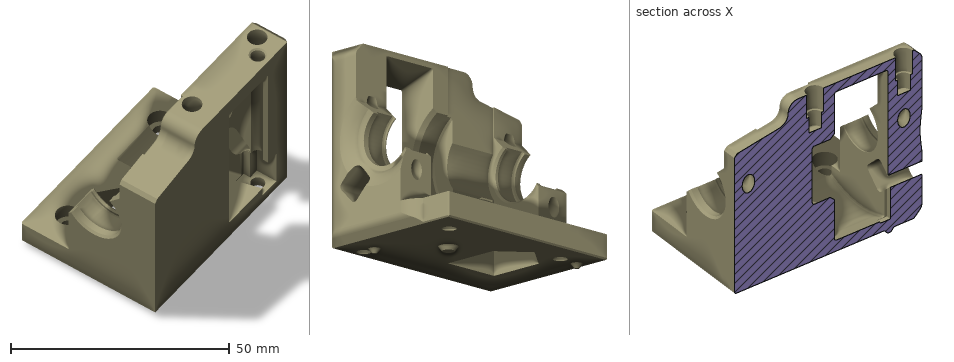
import cadquery as cq
import math

depth = 38.0
length = 53.75
height = 46.75
plate_thickness = 6.0
edge_break = 0.4
lead_in = 0.55

jaw_x = 13.5
upright_x = 27.9
jaw_top_z = 18.45
upright_foot_z = jaw_top_z + upright_x - jaw_x

axis_x = 20.65
axis_z = 23.65
shaft_bore_radius = 7.3
small_seat_radius = 8.15
small_seat_corner = 0.25
front_seat_y = (2.25, 7.75)
rear_seat_y = (44.2, 49.65)
large_seat_radius = 13.6
large_seat_depth_y = 22.25
large_seat_corner = 0.45
large_seat_mouth_depth = 1.3
large_seat_mouth_rise = 0.7
room_bore_radius = 9.25

room_y = (9.05, 23.9)
room_recess = 0.3
recess_edge_break = 0.25
opening_tip_x = 7.35
window_y = (28.75, 43.9)
gear_radius = 22.85
gear_tangent_x = 27.4
window_corner = 0.5

step_convex_y = 18.35
step_convex_radius = 2.95
step_concave_radius = 3.05
step_slope = math.radians(10)
front_corner_radius = 0.8

rear_plate_y = 51.7
boss_left_start_x = 8.2
boss_left_end_x = 13.4
boss_bevel = 1.7
boss_edge_radius = 2.15
flare_inner_radius = 8.7
flare_middle_radius = 10.05
flare_outer_radius = 12.45

screw_radius = 1.7
base_screw_x = 7.25
base_screws_y = (8.3, 44.25)
base_counterbore_radius = 2.95
base_counterbore_depth = 3.75
clamp_screw_offset = 11.55
clamp_screws_y = (4.1, 48.55)
clamp_screw_depth = 10.75
insert_x = 31.6
inserts_y = (23.15, 48.55)
insert_radius = 2.35
insert_depth = 6.45
insert_pilot_radius = 1.8
insert_pilot_depth = 10.75
long_screw_x = 34.9
long_screw_y = 44.25

access_x = 32.45
access_y = (41.75, 47.2)
access_z = (2.7, 12.1)
access_step_x = 30.55
access_step_y = 44.6
diagonal_slot_x = 28.45
diagonal_slot_z = 13.15
diagonal_slot_height = 7.0
diagonal_slot_width = 7.0
diagonal_slot_corner = 1.2

foot_height = 1.1
foot_taper = 40
feet = ((7.4, 2.75, 1.45), (31.3, 44.35, 1.45), (18.0, 33.7, 2.35))

margin = 2.7


def box(x_range, y_range, z_range):
    """Box given by its limits along each axis."""
    size = [high - low for low, high in (x_range, y_range, z_range)]
    return cq.Workplane("XY").box(*size, centered=False).translate((x_range[0], y_range[0], z_range[0]))


def shaft_turning(profile):
    """Solid of revolution about the shaft axis from (y, radius) corners."""
    first_y = profile[0][0]
    last_y = profile[-1][0]
    corners = [(0, first_y)] + [(radius, y) for y, radius in profile] + [(0, last_y)]
    turned = cq.Workplane("XY").polyline(corners).close().revolve(360, (0, 0, 0), (0, 1, 0))
    return turned.translate((axis_x, 0, axis_z))


def seat(radius, y_range, corner):
    """Bearing seat with bevelled corners at both ends."""
    start, end = y_range
    return shaft_turning(
        [(start, radius - corner), (start + corner, radius), (end - corner, radius), (end, radius - corner)]
    )


def clamp_body():
    """Base plate, jaws and upright as one outline along the shaft."""
    outline = (
        cq.Workplane("XZ")
        .polyline([
            (0, 0), (depth, 0), (depth, height), (upright_x, height), (upright_x, upright_foot_z),
            (jaw_x, jaw_top_z), (jaw_x, plate_thickness), (0, plate_thickness),
        ])
        .close()
    )
    return outline.extrude(-length).faces("<Z").edges("not >Y").chamfer(edge_break)


def front_step():
    """Space removed above the front end, leaving an S-curve and a sloping top."""
    inflection_y = step_convex_y - step_convex_radius
    inflection_z = height - step_convex_radius
    convex_mid = (
        step_convex_y - step_convex_radius * math.cos(math.pi / 4),
        inflection_z + step_convex_radius * math.sin(math.pi / 4),
    )
    concave_y = inflection_y - step_concave_radius
    end_angle = step_slope - math.pi / 2

    def concave_point(angle):
        return (
            concave_y + step_concave_radius * math.cos(angle),
            inflection_z + step_concave_radius * math.sin(angle),
        )

    slope_y, slope_z = concave_point(end_angle)
    front_z = slope_z - slope_y * math.tan(step_slope)
    return (
        cq.Workplane("YZ")
        .moveTo(step_convex_y, height)
        .threePointArc(convex_mid, (inflection_y, inflection_z))
        .threePointArc(concave_point(end_angle / 2), (slope_y, slope_z))
        .lineTo(front_corner_radius, front_z + front_corner_radius * math.tan(step_slope))
        .lineTo(0, front_z - front_corner_radius)
        .lineTo(-margin, front_z - front_corner_radius)
        .lineTo(-margin, height + margin)
        .lineTo(step_convex_y, height + margin)
        .close()
        .extrude(depth)
    )


def rear_left_cutter():
    """Space behind the base plate, left of the rounded flank of the rear boss."""
    rise = length - rear_plate_y
    run = boss_left_end_x - boss_left_start_x
    flank_radius = (run ** 2 + rise ** 2) / (2 * rise)
    return (
        cq.Workplane("XY")
        .moveTo(-margin, rear_plate_y)
        .lineTo(boss_left_start_x, rear_plate_y)
        .radiusArc((boss_left_end_x, length), flank_radius)
        .lineTo(boss_left_end_x, length + margin)
        .lineTo(-margin, length + margin)
        .close()
        .extrude(height)
    )


def rear_edge_cutter(plane, edge, inward, span):
    """Space outside one rear edge of the boss: a 45 degree bevel that rounds into the rear face.

    The edge lies at the given distance across Y, and inward is the sign of the way into the part.
    """
    diagonal = math.sqrt(0.5)
    tangent_y = length - boss_edge_radius * (1 - diagonal)
    bevel_y = tangent_y - boss_bevel
    arc_depth = boss_bevel + boss_edge_radius * diagonal
    arc_mid = (
        length - boss_edge_radius * (1 - math.cos(math.pi / 8)),
        arc_depth - boss_edge_radius * math.sin(math.pi / 8),
    )

    def place(y, into_part):
        across = edge + inward * into_part
        return (across, y) if plane == "XY" else (y, across)

    return (
        cq.Workplane(plane)
        .moveTo(*place(bevel_y, 0))
        .lineTo(*place(tangent_y, boss_bevel))
        .threePointArc(place(*arc_mid), place(length, arc_depth))
        .lineTo(*place(length + margin, arc_depth))
        .lineTo(*place(length + margin, -margin))
        .lineTo(*place(bevel_y, -margin))
        .close()
        .extrude(span)
    )


def room():
    """Open room between the front and middle walls, with its opening through the base plate."""
    start, end = room_y
    space = box((-margin, upright_x), room_y, (plate_thickness, height))
    recess = box((upright_x, upright_x + room_recess), room_y, (axis_z, height))
    opening = (
        cq.Workplane("XY")
        .polyline([
            (upright_x, start), (jaw_x, start), (opening_tip_x, (start + end) / 2),
            (jaw_x, end), (upright_x, end),
        ])
        .close()
        .extrude(plate_thickness)
    )
    return space.union(recess).union(opening)


def break_recess_edge(body):
    """Bevel where the recessed upright face meets the stepped top."""
    recess_x = upright_x + room_recess
    near, far = recess_x - recess_edge_break, recess_x + recess_edge_break
    start, end = room_y
    recess_edges = cq.selectors.BoxSelector((near, start, axis_z), (far, end, height + margin))
    return body.edges(recess_edges).edges("not(|Z or |X)").chamfer(recess_edge_break)


def gear_window():
    """Gear clearance: a round sweep that leaves the back along its tangents."""
    run = gear_tangent_x - axis_x
    rise = math.sqrt(gear_radius ** 2 - run ** 2)
    exit_x = depth + margin
    exit_rise = rise - (exit_x - gear_tangent_x) * run / rise
    start, end = window_y
    return (
        cq.Workplane("XZ", origin=(0, start, 0))
        .moveTo(exit_x, axis_z - exit_rise)
        .lineTo(exit_x, axis_z + exit_rise)
        .lineTo(gear_tangent_x, axis_z + rise)
        .threePointArc((axis_x - gear_radius, axis_z), (gear_tangent_x, axis_z - rise))
        .close()
        .extrude(start - end)
        .faces("<Y or >Y")
        .edges()
        .fillet(window_corner)
    )


def shaft_bores():
    """Through bore, bearing seats and chamfered mouths."""
    wide = shaft_bore_radius + lead_in
    room_start = room_y[0]
    bores = shaft_turning([
        (0, wide), (lead_in, shaft_bore_radius),
        (room_start - lead_in, shaft_bore_radius), (room_start, wide),
    ])
    bores = bores.union(shaft_turning([
        (window_y[1], shaft_bore_radius), (rear_plate_y - lead_in, shaft_bore_radius),
        (rear_plate_y, flare_inner_radius),
    ]))
    for y_range in (front_seat_y, rear_seat_y):
        bores = bores.union(seat(small_seat_radius, y_range, small_seat_corner))
    bores = bores.union(shaft_turning([(room_y[0], room_bore_radius), (room_y[1], room_bore_radius)]))
    mouth_y = window_y[0]
    return bores.union(shaft_turning([
        (large_seat_depth_y, large_seat_radius - large_seat_corner),
        (large_seat_depth_y + large_seat_corner, large_seat_radius),
        (mouth_y - large_seat_mouth_depth, large_seat_radius),
        (mouth_y, large_seat_radius + large_seat_mouth_rise),
    ]))


def rear_flare():
    """Curved flare that opens the rear bore out to the rear face."""
    flare = (
        cq.Workplane("XY")
        .moveTo(0, rear_plate_y)
        .lineTo(flare_inner_radius, rear_plate_y)
        .threePointArc((flare_middle_radius, (rear_plate_y + length) / 2), (flare_outer_radius, length))
        .lineTo(0, length)
        .close()
        .revolve(360, (0, 0, 0), (0, 1, 0))
    )
    return flare.translate((axis_x, 0, axis_z))


def vertical_hole(x, y, radius, top, hole_depth):
    """Round hole running down from the given level."""
    return cq.Workplane("XY", origin=(x, y, top)).circle(radius).extrude(-hole_depth)


def base_screw_holes():
    """Counterbored screw holes through the base plate."""
    holes = cq.Workplane("XY")
    for y in base_screws_y:
        holes = holes.add(vertical_hole(base_screw_x, y, screw_radius, plate_thickness, plate_thickness))
        holes = holes.add(
            vertical_hole(base_screw_x, y, base_counterbore_radius, plate_thickness, base_counterbore_depth)
        )
    return holes.combine()


def insert_holes():
    """Stepped insert holes in the top of the upright."""
    holes = cq.Workplane("XY")
    for y in inserts_y:
        holes = holes.add(vertical_hole(insert_x, y, insert_radius, height, insert_depth))
        holes = holes.add(vertical_hole(insert_x, y, insert_pilot_radius, height, insert_pilot_depth))
    return holes.combine()


def long_screw_hole():
    """Screw hole through the full height with a chamfered mouth, and its stepped access pocket."""
    hole = vertical_hole(long_screw_x, long_screw_y, screw_radius, height, height)
    mouth = (
        cq.Workplane("XY", origin=(long_screw_x, long_screw_y, height))
        .circle(screw_radius + edge_break)
        .workplane(offset=-edge_break)
        .circle(screw_radius)
        .loft()
    )
    pocket = box((access_x, depth + margin), access_y, access_z)
    step = box((access_step_x, access_x), (access_y[0], access_step_y), access_z)
    return hole.union(mouth).union(pocket).union(step)


def clamp_screw_holes():
    """Blind holes square to the split plane, above and below the shaft in both end walls."""
    holes = cq.Workplane("XY")
    inward = cq.Vector(1, 0, -1).normalized()
    along_split = cq.Vector(1, 0, 1).normalized()
    for y in clamp_screws_y:
        for side in (-1, 1):
            centre = cq.Vector(axis_x, y, axis_z) + along_split * (side * clamp_screw_offset)
            start = centre - inward * margin
            hole_plane = cq.Plane(start, (0, 1, 0), inward)
            holes = holes.add(cq.Workplane(hole_plane).circle(screw_radius).extrude(margin + clamp_screw_depth))
    return holes.combine()


def diagonal_slot():
    """Rounded slot turned 45 degrees, running through the rear wall from the gear window."""
    return (
        cq.Workplane("XZ")
        .rect(diagonal_slot_width, diagonal_slot_height)
        .extrude(window_y[1] - length)
        .edges("|Y")
        .fillet(diagonal_slot_corner)
        .rotate((0, 0, 0), (0, 1, 0), -45)
        .translate((diagonal_slot_x, window_y[1], diagonal_slot_z))
    )


def locating_foot(x, y, radius):
    """Conical foot below the base plate."""
    foot = cq.Workplane("XY", origin=(x, y, 0)).circle(radius)
    return foot.extrude(-foot_height, taper=foot_taper)


result = clamp_body().cut(rear_left_cutter())
result = result.edges("|Z").edges("<X").chamfer(edge_break)
result = result.cut(front_step()).cut(room())
result = break_recess_edge(result)
for cutter in (
    rear_edge_cutter("XY", depth, -1, height),
    rear_edge_cutter("YZ", height, -1, depth),
    rear_edge_cutter("YZ", 0, 1, depth),
    gear_window(),
    shaft_bores(),
    rear_flare(),
    base_screw_holes(),
    insert_holes(),
    long_screw_hole(),
    diagonal_slot(),
    clamp_screw_holes(),
):
    result = result.cut(cutter)
for foot in feet:
    result = result.union(locating_foot(*foot))